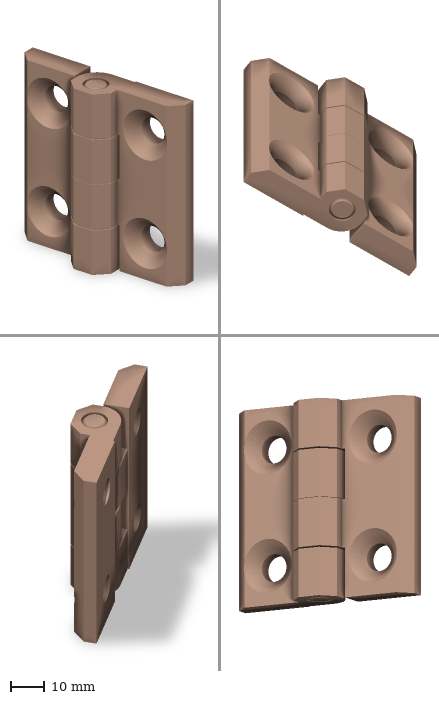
import cadquery as cq

HINGE_WIDTH = 60.0
HINGE_HEIGHT = 60.0
HINGE_DEPTH = 15.0

PLATE_THICKNESS = 8.0
EDGE_CHAMFER = 4.0
BARREL_CLEARANCE = 0.95
BACK_RELIEF = 0.5

KNUCKLE_HALF_WIDTH = PLATE_THICKNESS - BACK_RELIEF
KNUCKLE_FRONT = HINGE_DEPTH - PLATE_THICKNESS
END_GAP = 0.5
MIDDLE_GAP = 0.1
KNUCKLE_COUNT = 4
KNUCKLE_HEIGHT = (HINGE_HEIGHT - 2 * END_GAP - MIDDLE_GAP) / KNUCKLE_COUNT
UPPER_KNUCKLE_BOTTOM = MIDDLE_GAP / 2
LOWER_KNUCKLE_BOTTOM = -HINGE_HEIGHT / 2

PIN_RADIUS = 4.0
PIN_CHAMFER = 0.95
PIN_AXIS_Y = -0.5

HOLE_SPACING = 36.0
HOLE_DIAMETER = 8.4
COUNTERSINK_DIAMETER = 16.4
COUNTERSINK_ANGLE = 90.0

PLATE_INNER_X = KNUCKLE_HALF_WIDTH + BARREL_CLEARANCE


def make_plate():
    """Plate on the -X side, with its outer front edge chamfered."""
    outer_x = -HINGE_WIDTH / 2
    return (
        cq.Workplane("XY")
        .workplane(offset=-HINGE_HEIGHT / 2)
        .moveTo(-PLATE_INNER_X, 0)
        .lineTo(-PLATE_INNER_X, PLATE_THICKNESS)
        .lineTo(outer_x, PLATE_THICKNESS)
        .lineTo(outer_x, EDGE_CHAMFER)
        .lineTo(outer_x + EDGE_CHAMFER, 0)
        .close()
        .extrude(HINGE_HEIGHT)
    )


def make_knuckle(bottom_z):
    """Knuckle with a rounded back and a chamfered front, joined to the plate by a web."""
    diagonal = KNUCKLE_HALF_WIDTH * 0.5 ** 0.5
    front_half_width = KNUCKLE_HALF_WIDTH - EDGE_CHAMFER
    return (
        cq.Workplane("XY")
        .workplane(offset=bottom_z)
        .moveTo(-PLATE_INNER_X, 0)
        .lineTo(-PLATE_INNER_X, KNUCKLE_HALF_WIDTH)
        .lineTo(0, KNUCKLE_HALF_WIDTH)
        .threePointArc((diagonal, diagonal), (KNUCKLE_HALF_WIDTH, 0))
        .lineTo(KNUCKLE_HALF_WIDTH, EDGE_CHAMFER - KNUCKLE_FRONT)
        .lineTo(front_half_width, -KNUCKLE_FRONT)
        .lineTo(-front_half_width, -KNUCKLE_FRONT)
        .lineTo(-KNUCKLE_HALF_WIDTH, EDGE_CHAMFER - KNUCKLE_FRONT)
        .lineTo(-KNUCKLE_HALF_WIDTH, 0)
        .close()
        .extrude(KNUCKLE_HEIGHT)
    )


def make_pin_cylinder():
    """Full-height cylinder on the hinge axis."""
    return (
        cq.Workplane("XY")
        .workplane(offset=-HINGE_HEIGHT / 2)
        .center(0, PIN_AXIS_Y)
        .circle(PIN_RADIUS)
        .extrude(HINGE_HEIGHT)
    )


def make_leaf(turn_angle):
    """Leaf on the -X side, turned about the Y axis into its place."""
    hole_x = -HOLE_SPACING / 2
    hole_z = HOLE_SPACING / 2
    leaf = (
        make_plate()
        .copyWorkplane(cq.Workplane("XZ"))
        .pushPoints([(hole_x, -hole_z), (hole_x, hole_z)])
        .cskHole(HOLE_DIAMETER, COUNTERSINK_DIAMETER, COUNTERSINK_ANGLE)
    )
    for bottom_z in (LOWER_KNUCKLE_BOTTOM, UPPER_KNUCKLE_BOTTOM):
        leaf = leaf.union(make_knuckle(bottom_z))
    leaf = leaf.cut(make_pin_cylinder())
    return leaf.rotate((0, 0, 0), (0, 1, 0), turn_angle)


def make_pin():
    """Hinge pin, flush with the leaves and chamfered at both ends."""
    return make_pin_cylinder().faces("<Z or >Z").chamfer(PIN_CHAMFER)


leaves = [make_leaf(turn_angle) for turn_angle in (0, 180)]
pin = make_pin()

result = cq.Compound.makeCompound([*(leaf.val() for leaf in leaves), pin.val()])